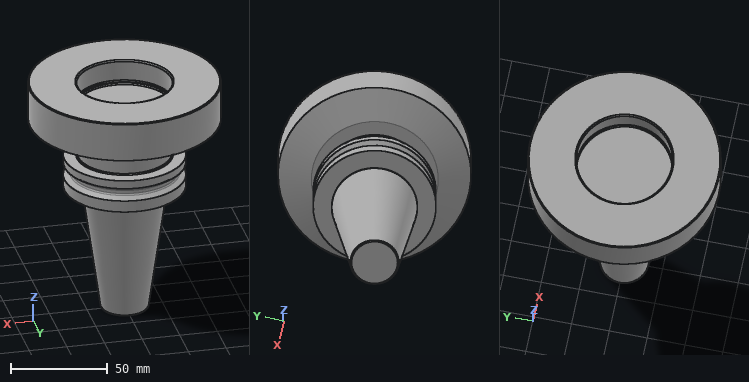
import cadquery as cq
import math

total_height = 129.4
taper_top = 68.5
flange_bottom = 69.6
flange_top = 87.6
head_bottom = 103.6
head_rim_bottom = 108.2

taper_small_radius = 12.5
taper_large_radius = 22.3
collar_radius = 22.0
flange_radius = 31.8
neck_radius = 24.6
head_diameter = 100.0
head_radius = head_diameter / 2
head_base_radius = 32.9

groove_radius = 28.2
groove_lower_edge = 76.0
groove_upper_edge = 83.1
groove_flank_angle = math.radians(60)
groove_fillet = 1.0

tip_chamfer = 0.6
neck_chamfer = 0.6
head_chamfer = 0.5

bore_radius = 24.8
bore_chamfer = 0.8
bore_depth = 14.1
relief_radius = 25.5
relief_start_depth = 11.4
relief_upper_depth = 12.8
relief_lower_depth = 13.3


def revolve_about_axis(profile):
    """Revolve a closed half profile (radius, height) about the Z axis."""
    return profile.close().revolve(360, (0, 0), (0, 1))


def make_body():
    """Taper, flange, neck and head as one solid of revolution."""
    outline = [
        (0, 0),
        (taper_small_radius - tip_chamfer, 0),
        (taper_small_radius, tip_chamfer),
        (taper_large_radius, taper_top),
        (collar_radius, flange_bottom),
        (flange_radius, flange_bottom),
        (flange_radius, flange_top),
        (neck_radius + neck_chamfer, flange_top),
        (neck_radius, flange_top + neck_chamfer),
        (neck_radius, head_bottom - neck_chamfer),
        (neck_radius + neck_chamfer, head_bottom),
        (head_base_radius, head_bottom),
        (head_radius, head_rim_bottom),
        (head_radius, total_height - head_chamfer),
        (head_radius - head_chamfer, total_height),
        (0, total_height),
    ]
    return revolve_about_axis(cq.Workplane("XZ").polyline(outline))


def make_gripper_groove():
    """Ring that cuts the groove, with its two inner corners rounded."""
    flank_height = (flange_radius - groove_radius) / math.tan(groove_flank_angle)
    outline = [
        (flange_radius, groove_lower_edge),
        (groove_radius, groove_lower_edge + flank_height),
        (groove_radius, groove_upper_edge - flank_height),
        (flange_radius, groove_upper_edge),
    ]
    ring = revolve_about_axis(cq.Workplane("XZ").polyline(outline))
    floor_edges = cq.selectors.RadiusNthSelector(0)
    return ring.edges("%CIRCLE").edges(floor_edges).fillet(groove_fillet)


def make_bore():
    """Bore with a chamfered mouth and a relief groove at the floor."""
    outline = [
        (0, total_height - bore_depth),
        (bore_radius, total_height - bore_depth),
        (relief_radius, total_height - relief_lower_depth),
        (relief_radius, total_height - relief_upper_depth),
        (bore_radius, total_height - relief_start_depth),
        (bore_radius, total_height - bore_chamfer),
        (bore_radius + bore_chamfer, total_height),
        (0, total_height),
    ]
    return revolve_about_axis(cq.Workplane("XZ").polyline(outline))


result = make_body().cut(make_gripper_groove()).cut(make_bore())